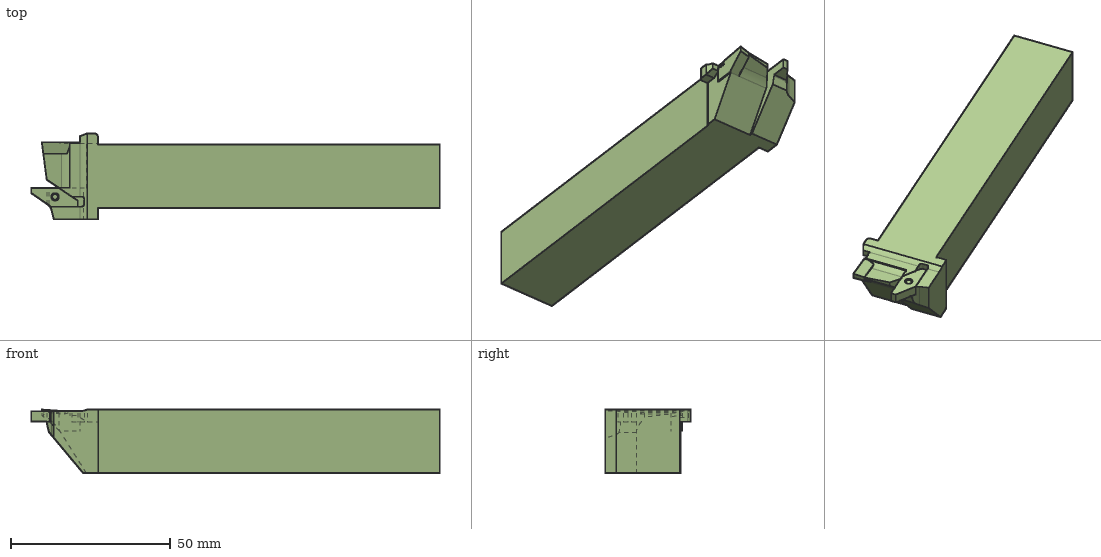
import cadquery as cq

TOTAL_LENGTH = 128.3
SHANK_SIZE = 20.0
SHANK_HALF = SHANK_SIZE / 2
SHANK_START_X = 21.0

HEAD_RIGHT_Y = -13.5
HEAD_LEFT_Y = 10.35
TOP_RAMP_DROP = 0.45
HEAD_TOP_Z = SHANK_SIZE - TOP_RAMP_DROP
TOP_RAMP_START_X = 15.3
TOP_RAMP_END_X = 17.6

WING_LEFT_Y = -HEAD_RIGHT_Y
WING_BOTTOM_Z = 16.1
WING_FRONT_BOTTOM_Z = 17.5
WING_CORNER_DEPTH_Y = 0.9
WING_BACK_RADIUS = 1.2

INSERT_LEFT_Y = -3.65
INSERT_RIGHT_Y = -9.5
INSERT_TIP_WIDTH = 1.65
INSERT_FLANK_END_X = 6.1
INSERT_BACK_X = 14.7
INSERT_BACK_LEFT_Y = -7.7
INSERT_BOTTOM_Z = 16.2
INSERT_RECESS = 0.1
INSERT_TOP_Z = HEAD_TOP_Z - INSERT_RECESS
INSERT_HOLE = (7.5, -6.45)
INSERT_HOLE_DIAMETER = 2.4
INSERT_HOLE_FLOOR_DIAMETER = 1.8
INSERT_HOLE_DEPTH = 0.3

RELIEF_START_X = 12.5
RELIEF_END_X = 16.65
RELIEF_LEFT_Y = -6.4
RELIEF_RADIUS = 0.8

CHAMFER_BOTTOM_X = 16.3
CHAMFER_TOP_X = 5.55
CHAMFER_TOP_Z = 12.9
SUPPORT_FRONT_X = 4.85
SUPPORT_LAND_Z = 15.7
HEAD_FRONT_CORNER_X = 7.05
SUPPORT_FILLET = 3.0

LEFT_SLOPE_BOTTOM_X = 17.3
LEFT_SLOPE_TOP_X = 8.9
LEFT_SLOPE_TOP_Z = 13.3

BLADE_LEFT_Y = 10.7
BLADE_TIP_X = 3.3
BLADE_CORNER_X = 4.85
BLADE_CORNER_Y = -1.1
BLADE_TIP_Z = SHANK_SIZE
UNDERSIDE_START_X = 7.0
UNDERSIDE_START_Z = 15.75
UNDERSIDE_SLOPE = 0.9
UNDERSIDE_FILLET_SAG = 0.12
RIM_RIGHT_Y = 7.1
RIM_FLANK_SLOPE = 0.88

GROOVE_FRONT_Z = 19.4
RIM_TOP_SLOPE = 0.07
GROOVE_LOW_X = 9.46
GROOVE_SLOPE = 0.12
GROOVE_BACK_X = 12.1
GROOVE_BACK_Z = 19.15

RISE_MIDDLE_RUN = 0.6
RISE_MIDDLE_HEIGHT = 0.3


def across(profile, right_y, left_y):
    """Extrude an XZ profile from right_y to left_y."""
    return profile.extrude(left_y - right_y).translate((0, left_y, 0))


def box_between(corner, opposite):
    """Box from its lowest corner to the opposite one."""
    size = [b - a for a, b in zip(corner, opposite)]
    return cq.Workplane("XY").box(*size, centered=False).translate(corner)


def plan_prism(points, bottom_z, top_z):
    """Upright prism over an outline in plan."""
    outline = cq.Workplane("XY", origin=(0, 0, bottom_z)).polyline(points).close()
    return outline.extrude(top_z - bottom_z)


def insert_back_x(y):
    """X on the slanted back of the insert, in line with the blade's front corner."""
    share = (y - BLADE_CORNER_Y) / (INSERT_BACK_LEFT_Y - BLADE_CORNER_Y)
    return BLADE_CORNER_X + share * (INSERT_BACK_X - BLADE_CORNER_X)


def rise_middle(start, end):
    """Middle point of a concave rise from start to end in the XZ plane."""
    run = end[0] - start[0]
    height = end[1] - start[1]
    return (start[0] + RISE_MIDDLE_RUN * run, start[1] + RISE_MIDDLE_HEIGHT * height)


def finish_top(profile, bottom_z=0):
    """Run an XZ profile along its bottom to the shank, then forward over the top ramp onto the head top."""
    ramp_start = (TOP_RAMP_START_X, HEAD_TOP_Z)
    ramp_end = (TOP_RAMP_END_X, SHANK_SIZE)
    return (
        profile.lineTo(SHANK_START_X, bottom_z)
        .lineTo(SHANK_START_X, SHANK_SIZE)
        .lineTo(*ramp_end)
        .threePointArc(rise_middle(ramp_start, ramp_end), ramp_start)
    )


def make_shank():
    return box_between((SHANK_START_X, -SHANK_HALF, 0), (TOTAL_LENGTH, SHANK_HALF, SHANK_SIZE))


def make_support():
    """Right part of the head: chamfered below, trimmed to the slanted front in plan."""
    profile = (
        finish_top(cq.Workplane("XZ").moveTo(CHAMFER_BOTTOM_X, 0))
        .lineTo(SUPPORT_FRONT_X, HEAD_TOP_Z)
        .lineTo(SUPPORT_FRONT_X, SUPPORT_LAND_Z)
        .lineTo(CHAMFER_TOP_X, CHAMFER_TOP_Z)
        .close()
    )
    outline = plan_prism(
        [
            (0, INSERT_LEFT_Y),
            (0, INSERT_LEFT_Y - INSERT_TIP_WIDTH),
            (INSERT_FLANK_END_X, INSERT_RIGHT_Y),
            (HEAD_FRONT_CORNER_X, HEAD_RIGHT_Y),
            (SHANK_START_X, HEAD_RIGHT_Y),
            (SHANK_START_X, INSERT_LEFT_Y),
        ],
        0,
        SHANK_SIZE,
    )
    inner_corner = cq.selectors.NearestToPointSelector((INSERT_FLANK_END_X, INSERT_RIGHT_Y, SHANK_HALF))
    outline = outline.edges("|Z").edges(inner_corner).fillet(SUPPORT_FILLET)
    return across(profile, HEAD_RIGHT_Y, INSERT_LEFT_Y).intersect(outline)


def underside_z(x):
    return UNDERSIDE_START_Z + UNDERSIDE_SLOPE * (UNDERSIDE_START_X - x)


def make_left_body():
    """Left part of the head with the blade overhanging its slope."""
    fillet_middle = (
        (UNDERSIDE_START_X + LEFT_SLOPE_TOP_X) / 2 + UNDERSIDE_FILLET_SAG,
        (UNDERSIDE_START_Z + LEFT_SLOPE_TOP_Z) / 2,
    )
    profile = (
        finish_top(cq.Workplane("XZ").moveTo(LEFT_SLOPE_BOTTOM_X, 0))
        .lineTo(BLADE_TIP_X, HEAD_TOP_Z)
        .lineTo(BLADE_TIP_X, underside_z(BLADE_TIP_X))
        .lineTo(UNDERSIDE_START_X, UNDERSIDE_START_Z)
        .threePointArc(fillet_middle, (LEFT_SLOPE_TOP_X, LEFT_SLOPE_TOP_Z))
        .close()
    )
    return across(profile, INSERT_LEFT_Y, HEAD_LEFT_Y)


def groove_floor_z(x):
    return GROOVE_FRONT_Z - GROOVE_SLOPE * (x - BLADE_TIP_X)


def make_groove():
    """Cutter for the chip groove: sloping floor with a concave rise at its back."""
    rise_start = (GROOVE_LOW_X, groove_floor_z(GROOVE_LOW_X))
    rise_end = (GROOVE_BACK_X, GROOVE_BACK_Z)
    profile = (
        cq.Workplane("XZ")
        .moveTo(BLADE_TIP_X, SHANK_SIZE)
        .lineTo(BLADE_TIP_X, groove_floor_z(BLADE_TIP_X))
        .lineTo(*rise_start)
        .threePointArc(rise_middle(rise_start, rise_end), rise_end)
        .lineTo(GROOVE_BACK_X, SHANK_SIZE)
        .close()
    )
    return across(profile, INSERT_LEFT_Y, BLADE_LEFT_Y)


def make_rim():
    """Outer rim of the blade: a deep flank topped by a wedge rising towards +Y."""
    flank_front_z = LEFT_SLOPE_TOP_Z + RIM_FLANK_SLOPE * (LEFT_SLOPE_TOP_X - BLADE_TIP_X)
    flank = (
        cq.Workplane("XZ")
        .moveTo(LEFT_SLOPE_TOP_X, LEFT_SLOPE_TOP_Z)
        .lineTo(TOP_RAMP_START_X, LEFT_SLOPE_TOP_Z)
        .lineTo(TOP_RAMP_START_X, flank_front_z)
        .lineTo(BLADE_TIP_X, flank_front_z)
        .close()
    )

    def wedge_section(x):
        fall = RIM_TOP_SLOPE * (x - BLADE_TIP_X)
        return [
            (RIM_RIGHT_Y, GROOVE_FRONT_Z - fall),
            (RIM_RIGHT_Y, flank_front_z),
            (BLADE_LEFT_Y, flank_front_z),
            (BLADE_LEFT_Y, BLADE_TIP_Z - fall),
        ]

    wedge = (
        cq.Workplane("YZ", origin=(BLADE_TIP_X, 0, 0))
        .polyline(wedge_section(BLADE_TIP_X))
        .close()
        .workplane(offset=GROOVE_BACK_X - BLADE_TIP_X)
        .polyline(wedge_section(GROOVE_BACK_X))
        .close()
        .loft(ruled=True)
    )
    return across(flank, RIM_RIGHT_Y, BLADE_LEFT_Y).union(wedge)


def make_blade_side():
    """Left body, groove and rim together, trimmed to the blade outline in plan."""
    outline = plan_prism(
        [
            (BLADE_TIP_X, BLADE_LEFT_Y),
            (BLADE_CORNER_X, BLADE_CORNER_Y),
            (insert_back_x(INSERT_LEFT_Y), INSERT_LEFT_Y),
            (SHANK_START_X, INSERT_LEFT_Y),
            (SHANK_START_X, BLADE_LEFT_Y),
        ],
        0,
        SHANK_SIZE,
    )
    return make_left_body().cut(make_groove()).union(make_rim()).intersect(outline)


def make_wing():
    profile = (
        finish_top(cq.Workplane("XZ").moveTo(TOP_RAMP_END_X, WING_BOTTOM_Z), WING_BOTTOM_Z)
        .lineTo(TOP_RAMP_START_X, WING_FRONT_BOTTOM_Z)
        .close()
    )
    outline = plan_prism(
        [
            (TOP_RAMP_START_X, HEAD_LEFT_Y),
            (SHANK_START_X, HEAD_LEFT_Y),
            (SHANK_START_X, WING_LEFT_Y),
            (TOP_RAMP_END_X, WING_LEFT_Y),
            (TOP_RAMP_START_X, WING_LEFT_Y - WING_CORNER_DEPTH_Y),
        ],
        0,
        SHANK_SIZE,
    )
    wing = across(profile, HEAD_LEFT_Y, WING_LEFT_Y).intersect(outline)
    return wing.edges("|Z and >X and >Y").fillet(WING_BACK_RADIUS)


def insert_outline():
    return [
        (0, INSERT_LEFT_Y),
        (0, INSERT_LEFT_Y - INSERT_TIP_WIDTH),
        (INSERT_FLANK_END_X, INSERT_RIGHT_Y),
        (INSERT_BACK_X, INSERT_RIGHT_Y),
        (INSERT_BACK_X, INSERT_BACK_LEFT_Y),
        (insert_back_x(INSERT_LEFT_Y), INSERT_LEFT_Y),
    ]


def make_insert():
    insert = plan_prism(insert_outline(), INSERT_BOTTOM_Z, INSERT_TOP_Z)
    hole = (
        cq.Workplane("XY", origin=(*INSERT_HOLE, INSERT_TOP_Z))
        .circle(INSERT_HOLE_DIAMETER / 2)
        .workplane(offset=-INSERT_HOLE_DEPTH)
        .circle(INSERT_HOLE_FLOOR_DIAMETER / 2)
        .loft()
    )
    return insert.cut(hole)


def make_pocket():
    """Cutter for the insert seat, open towards the front, and the round-cornered relief behind it."""
    relief = box_between(
        (RELIEF_START_X, INSERT_RIGHT_Y, INSERT_BOTTOM_Z),
        (RELIEF_END_X, RELIEF_LEFT_Y, SHANK_SIZE),
    )
    relief = relief.edges("|Z and >X").fillet(RELIEF_RADIUS)
    seat = [
        (0, INSERT_LEFT_Y),
        (0, INSERT_RIGHT_Y),
        (INSERT_BACK_X, INSERT_RIGHT_Y),
        (INSERT_BACK_X, INSERT_BACK_LEFT_Y),
        (insert_back_x(INSERT_LEFT_Y), INSERT_LEFT_Y),
    ]
    return plan_prism(seat, INSERT_BOTTOM_Z, SHANK_SIZE).union(relief)


head = make_support().union(make_blade_side()).union(make_wing())
head = head.cut(make_pocket()).union(make_insert())
result = make_shank().union(head)